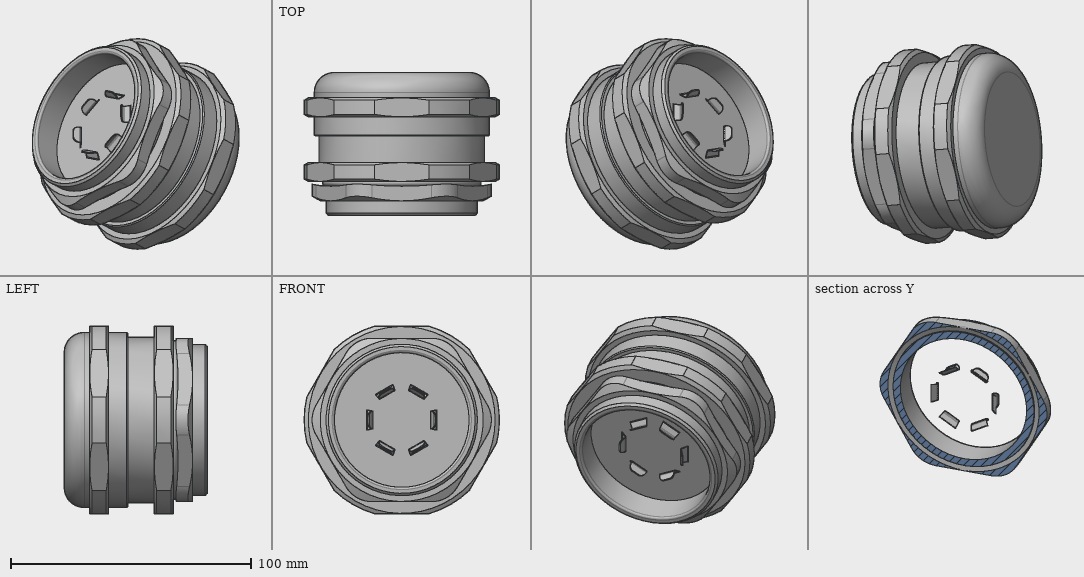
import cadquery as cq
import math


total_length = 59.6
hex_corner_diameter = 81.3
hex_across_flats = 78.0
hex_face_diameter = 77.7
hex_thickness = 8.0
body_hex_start = 14.15
cap_hex_start = 41.05

spigot_diameter = 63.0
spigot_chamfer = 1.0
seal_diameter = 66.1
seal_section_radius = 1.5
seal_center = 13.6
body_diameter = 69.0
cap_diameter = 73.0
cap_start = 33.1
cap_chamfer = 0.5
cap_round = 8.45

bore_diameter = 56.0
bore_depth = 12.2
bore_mouth_round = 1.0

locknut_start = 6.1
locknut_across_flats = 67.95
locknut_corner_round = 12.5
locknut_face_diameter = 67.8
locknut_back_at_flat = 12.2
locknut_dish_angle = 15.0

chamfer_angle = 30.0

finger_count = 6
finger_base_radius = 14.7
finger_bend_radius = 11.7
finger_tip_radius = 14.0
finger_bend_height = 2.1
finger_tip_height = 5.0
finger_base_width = 8.4
finger_bend_width = 7.4
finger_corner_round = 2.2
finger_bend_inside_round = 0.5
finger_thickness = 0.5
finger_root = 0.8


def revolve_about_y(outline):
    """Turn a closed (radius, y) outline drawn on XY around the Y axis."""
    return outline.close().revolve(360, (0, 0, 0), (0, 1, 0))


def turned(points):
    return revolve_about_y(cq.Workplane("XY").polyline(points))


def hex_prism(across_flats, start, length):
    """Hexagonal prism along +Y with two flats facing +Z and -Z."""
    corner_diameter = across_flats / math.cos(math.pi / 6)
    plane = cq.Workplane("XZ", origin=(0, start, 0))
    return plane.polygon(6, corner_diameter).extrude(-length)


def chamfer_height(outer_radius, inner_radius):
    return (outer_radius - inner_radius) * math.tan(math.radians(chamfer_angle))


def make_body():
    """Turned body: spigot, plain barrel and domed cap."""
    spigot_r = spigot_diameter / 2
    body_r = body_diameter / 2
    cap_r = cap_diameter / 2
    diagonal = math.sqrt(0.5)
    outline = (
        cq.Workplane("XY")
        .moveTo(0, 0)
        .lineTo(spigot_r - spigot_chamfer, 0)
        .lineTo(spigot_r, spigot_chamfer)
        .lineTo(spigot_r, body_hex_start)
        .lineTo(body_r, body_hex_start)
        .lineTo(body_r, cap_start)
        .lineTo(cap_r - cap_chamfer, cap_start)
        .lineTo(cap_r, cap_start + cap_chamfer)
        .lineTo(cap_r, total_length - cap_round)
        .threePointArc(
            (cap_r - cap_round * (1 - diagonal), total_length - cap_round * (1 - diagonal)),
            (cap_r - cap_round, total_length),
        )
        .lineTo(0, total_length)
    )
    return revolve_about_y(outline)


def make_seal():
    """Seal disc with a half-round rim, seated against the body hexagon."""
    ring_r = seal_diameter / 2 - seal_section_radius
    front = seal_center - seal_section_radius
    back = seal_center + seal_section_radius
    outline = (
        cq.Workplane("XY")
        .moveTo(0, front)
        .lineTo(ring_r, front)
        .threePointArc((seal_diameter / 2, seal_center), (ring_r, back))
        .lineTo(0, back)
    )
    return revolve_about_y(outline)


def make_big_hex(start):
    """Hexagon with corners turned to a cylinder and both faces chamfered."""
    end = start + hex_thickness
    outer_r = hex_corner_diameter / 2
    face_r = hex_face_diameter / 2
    rise = chamfer_height(outer_r, face_r)
    envelope = turned([
        (0, start),
        (face_r, start),
        (outer_r, start + rise),
        (outer_r, end - rise),
        (face_r, end),
        (0, end),
    ])
    return hex_prism(hex_across_flats, start, hex_thickness).intersect(envelope)


def make_locknut():
    """Hexagon with rounded corners, a chamfered front and a dished back."""
    flat_r = locknut_across_flats / 2
    envelope_r = locknut_across_flats / math.sqrt(3)
    face_r = locknut_face_diameter / 2
    dish_slope = math.tan(math.radians(locknut_dish_angle))
    back_at_envelope = locknut_back_at_flat + (envelope_r - flat_r) * dish_slope
    spigot_r = spigot_diameter / 2
    dish_bottom = locknut_back_at_flat - (flat_r - spigot_r) * dish_slope
    envelope = turned([
        (0, locknut_start),
        (face_r, locknut_start),
        (envelope_r, locknut_start + chamfer_height(envelope_r, face_r)),
        (envelope_r, back_at_envelope),
        (spigot_r, dish_bottom),
        (0, dish_bottom),
    ])
    blank = hex_prism(locknut_across_flats, locknut_start, back_at_envelope - locknut_start)
    return blank.edges("|Y").fillet(locknut_corner_round).intersect(envelope)


def make_bore():
    """Blind bore with a rounded mouth."""
    bore_r = bore_diameter / 2
    mouth_r = bore_r + bore_mouth_round
    inset = bore_mouth_round * (1 - math.sqrt(0.5))
    outline = (
        cq.Workplane("XY")
        .moveTo(0, 0)
        .lineTo(mouth_r, 0)
        .threePointArc((bore_r + inset, inset), (bore_r, bore_mouth_round))
        .lineTo(bore_r, bore_depth)
        .lineTo(0, bore_depth)
    )
    return revolve_about_y(outline)


def make_finger():
    """Bent sheet finger on the +X side: leans inward, then flares outward."""
    root_y = bore_depth + finger_root
    bend_y = bore_depth - finger_bend_height
    tip_y = bore_depth - finger_tip_height
    side_profile = (
        cq.Workplane("XY", origin=(0, 0, -finger_base_width / 2))
        .polyline([
            (finger_base_radius, root_y),
            (finger_base_radius, bore_depth),
            (finger_bend_radius + finger_thickness, bend_y),
            (finger_tip_radius, tip_y),
            (finger_tip_radius - finger_thickness, tip_y),
            (finger_bend_radius, bend_y),
            (finger_base_radius - finger_thickness, bore_depth),
            (finger_base_radius - finger_thickness, root_y),
        ])
        .close()
        .extrude(finger_base_width)
    )
    bend_outside = cq.selectors.NearestToPointSelector((finger_bend_radius, bend_y, 0))
    side_profile = side_profile.edges(bend_outside).fillet(
        finger_bend_inside_round + finger_thickness
    )
    bend_inside = cq.selectors.NearestToPointSelector(
        (finger_bend_radius + finger_thickness, bend_y, 0)
    )
    side_profile = side_profile.edges(bend_inside).fillet(finger_bend_inside_round)
    half_base = finger_base_width / 2
    half_bend = finger_bend_width / 2
    face_outline = (
        cq.Workplane("YZ")
        .polyline([
            (root_y, -half_base),
            (bore_depth, -half_base),
            (bend_y, -half_bend),
            (tip_y, -half_bend),
            (tip_y, half_bend),
            (bend_y, half_bend),
            (bore_depth, half_base),
            (root_y, half_base),
        ])
        .close()
        .extrude(finger_base_radius)
        .edges("|X and <Y")
        .fillet(finger_corner_round)
    )
    return side_profile.intersect(face_outline)


result = make_body()
for hex_start in (body_hex_start, cap_hex_start):
    result = result.union(make_big_hex(hex_start))
result = result.union(make_seal()).union(make_locknut()).cut(make_bore())

finger = make_finger()
for index in range(finger_count):
    angle = index * 360 / finger_count
    result = result.union(finger.rotate((0, 0, 0), (0, 1, 0), angle))